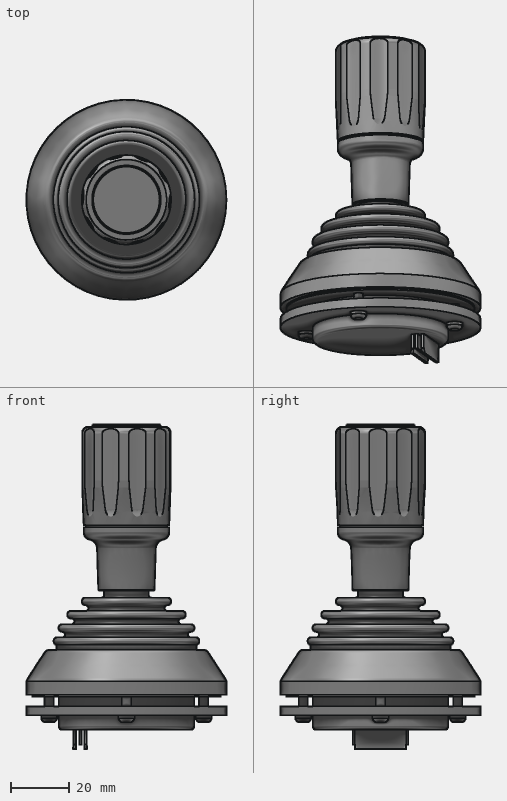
import cadquery as cq
import math

TOTAL_HEIGHT = 111.8

FLANGE_DIAMETER = 69.0
FLANGE_BOTTOM = 11.6
FLANGE_TOP = 14.8
HOUSING_DIAMETER = 46.7
HOUSING_BOTTOM = 6.6
HOUSING_FILLET = 1.3
SKIRT_BOTTOM = 18.1
SKIRT_STEP = 0.6
SKIRT_STEP_RADIUS = 32.4
SKIRT_WALL_TOP = 23.4
SKIRT_BEVEL_RADIUS = 34.0
SKIRT_BEVEL_TOP = 24.4
SKIRT_TOP = 34.2
SKIRT_SHOULDER_RADIUS = 28.2
SKIRT_SHOULDER_DROP = 0.9
SKIRT_FLAT_RADIUS = 26.7

RIB_THICKNESS = 2.7
RIB_LEVELS = (37.2, 41.7, 46.3, 50.9)
RIB_RADII = (25.2, 23.5, 20.5, 15.4)
NECK_LANDINGS = (21.7, 18.9, 13.9)
NECK_SMOOTH_BELOW = (False, True, False)
COLLAR_RADIUS = 24.2

STEM_RADIUS = 15.5 / 2
STEM_FLARE = 0.7
SLEEVE_BOTTOM = 54.6
SLEEVE_BOTTOM_RADIUS = 9.7
SLEEVE_CHAMFER = 0.3
SLEEVE_TOP = 69.2
SLEEVE_TOP_RADIUS = 10.2
BELL_INFLECTION_RADIUS = 12.6
BELL_INFLECTION_LEVEL = 72.1
BELL_RADIUS = 14.8
BELL_WALL_BOTTOM = 74.7
GROOVE_BOTTOM = 76.5
GROOVE_TOP = 77.2
GROOVE_RADIUS = 14.1

KNOB_RADIUS = 15.4
KNOB_BOTTOM_RADIUS = 14.8
BLEND_RADIUS = 15.38
BLEND_BOTTOM = 90.1
BLEND_TOP = 92.5
KNOB_ROUND_START = 108.7
KNOB_ROUND = 2.2
KNOB_LIP_RADIUS = 13.9
KNOB_TOP = 111.0
CAP_DIAMETER = 23.7
CAP_CHAMFER = 0.5
FLUTE_COUNT = 10
FLUTE_PHASE = -3.4
FLUTE_FLOOR_RADIUS = 14.71
FLUTE_CUTTER_RADIUS = 11.0
FLUTE_STRAIGHT_BOTTOM = 82.6
FLUTE_RUNOUT_LENGTH = 4.5
FLUTE_RUNOUT_DEPTH = 0.62

SCREW_COUNT = 4
SCREW_CIRCLE_RADIUS = 26.6
SCREW_DIAMETER = 3.2
HEAD_DIAMETER = 5.6
HEAD_WALL = 1.0
HEAD_HEIGHT = 2.3
HEAD_FACE_DIAMETER = 3.5
HEAD_SHOULDER_DIAMETER = 4.7
HEAD_SHOULDER_HEIGHT = 0.5

BLADE_THICKNESS = 0.9
OUTER_BLADE_WIDTH = 17.7
MIDDLE_BLADE_WIDTH = 19.2
LEFT_BLADE_X = -17.8
MIDDLE_BLADE_X = -15.8
RIGHT_BLADE_X = -14.1
MIDDLE_BLADE_BOTTOM = 1.5
BLADE_EAR_WIDTH = 1.1
BLADE_EAR_HEIGHT = 1.7
BLADE_EAR_FOLD = 15.0


def point_on_circle(center, radius, degrees):
    """Point on a circle, at an angle from the first axis."""
    angle = math.radians(degrees)
    return (center[0] + radius * math.cos(angle), center[1] + radius * math.sin(angle))


def make_base():
    """Revolve the housing, flange and conical skirt."""
    outer = FLANGE_DIAMETER / 2
    housing = HOUSING_DIAMETER / 2
    body = (
        cq.Workplane("XY").workplane(offset=HOUSING_BOTTOM).circle(housing)
        .extrude(SKIRT_BOTTOM - HOUSING_BOTTOM)
        .faces("<Z").edges().fillet(HOUSING_FILLET)
    )
    flange = (
        cq.Workplane("XY").workplane(offset=FLANGE_BOTTOM).circle(outer)
        .extrude(FLANGE_TOP - FLANGE_BOTTOM)
    )
    skirt = (
        cq.Workplane("XZ")
        .moveTo(0, SKIRT_BOTTOM)
        .lineTo(SKIRT_STEP_RADIUS, SKIRT_BOTTOM)
        .lineTo(SKIRT_STEP_RADIUS, SKIRT_BOTTOM + SKIRT_STEP)
        .lineTo(outer, SKIRT_BOTTOM + SKIRT_STEP)
        .lineTo(outer, SKIRT_WALL_TOP)
        .lineTo(SKIRT_BEVEL_RADIUS, SKIRT_BEVEL_TOP)
        .lineTo(SKIRT_SHOULDER_RADIUS, SKIRT_TOP - SKIRT_SHOULDER_DROP)
        .tangentArcPoint((SKIRT_FLAT_RADIUS, SKIRT_TOP), relative=False)
        .lineTo(0, SKIRT_TOP)
        .close()
        .revolve(360, (0, 0, 0), (0, 1, 0))
    )
    return body.union(flange).union(skirt)


def add_neck(profile, index):
    """Add the concave arc between two ribs; it runs smoothly into one and creases at the other."""
    half = RIB_THICKNESS / 2
    bottom = RIB_LEVELS[index] + half
    top = RIB_LEVELS[index + 1] - half
    upper_center = RIB_RADII[index + 1] - half
    landing = NECK_LANDINGS[index]
    profile = profile.lineTo(landing, bottom)
    if NECK_SMOOTH_BELOW[index]:
        arc_radius = (top - bottom) / 2
        center = (landing, bottom + arc_radius)
        return (
            profile.threePointArc(point_on_circle(center, arc_radius, 180), (landing, top))
            .lineTo(upper_center, top)
        )
    gap = top - bottom
    arc_radius = (gap ** 2 + (upper_center - landing) ** 2) / (2 * gap)
    center = (upper_center, top - arc_radius)
    return profile.threePointArc(point_on_circle(center, arc_radius, 180), (upper_center, top))


def make_bellows():
    """Revolve the bellows: a collar, then ribs with rounded rims and concave necks."""
    half = RIB_THICKNESS / 2
    profile = cq.Workplane("XZ").moveTo(0, SKIRT_TOP).lineTo(COLLAR_RADIUS, SKIRT_TOP)
    profile = profile.lineTo(COLLAR_RADIUS, RIB_LEVELS[0] - half)
    for index, (level, radius) in enumerate(zip(RIB_LEVELS, RIB_RADII)):
        profile = profile.threePointArc((radius, level), (radius - half, level + half))
        if index < len(NECK_LANDINGS):
            profile = add_neck(profile, index)
    top = RIB_LEVELS[-1] + half
    return profile.lineTo(0, top).close().revolve(360, (0, 0, 0), (0, 1, 0))


def make_handle():
    """Revolve the stem, the tapered sleeve, its bell and the knob with its cap."""
    stem_bottom = RIB_LEVELS[-1] + RIB_THICKNESS / 2
    round_center = (KNOB_RADIUS - KNOB_ROUND, KNOB_ROUND_START)
    lip_angle = math.degrees(math.acos((KNOB_LIP_RADIUS - round_center[0]) / KNOB_ROUND))
    cap = CAP_DIAMETER / 2
    return (
        cq.Workplane("XZ")
        .moveTo(0, stem_bottom)
        .lineTo(STEM_RADIUS + STEM_FLARE, stem_bottom)
        .threePointArc(
            point_on_circle((STEM_RADIUS + STEM_FLARE, stem_bottom + STEM_FLARE), STEM_FLARE, 225),
            (STEM_RADIUS, stem_bottom + STEM_FLARE),
        )
        .lineTo(STEM_RADIUS, SLEEVE_BOTTOM)
        .lineTo(SLEEVE_BOTTOM_RADIUS - SLEEVE_CHAMFER, SLEEVE_BOTTOM)
        .lineTo(SLEEVE_BOTTOM_RADIUS, SLEEVE_BOTTOM + SLEEVE_CHAMFER)
        .lineTo(SLEEVE_TOP_RADIUS, SLEEVE_TOP)
        .tangentArcPoint((BELL_INFLECTION_RADIUS, BELL_INFLECTION_LEVEL), relative=False)
        .tangentArcPoint((BELL_RADIUS, BELL_WALL_BOTTOM), relative=False)
        .lineTo(BELL_RADIUS, GROOVE_BOTTOM)
        .lineTo(GROOVE_RADIUS, GROOVE_BOTTOM)
        .lineTo(GROOVE_RADIUS, GROOVE_TOP)
        .lineTo(KNOB_BOTTOM_RADIUS, GROOVE_TOP)
        .lineTo(BLEND_RADIUS, BLEND_BOTTOM)
        .tangentArcPoint((KNOB_RADIUS, BLEND_TOP), relative=False)
        .lineTo(KNOB_RADIUS, KNOB_ROUND_START)
        .threePointArc(
            point_on_circle(round_center, KNOB_ROUND, lip_angle / 2),
            point_on_circle(round_center, KNOB_ROUND, lip_angle),
        )
        .lineTo(KNOB_LIP_RADIUS, KNOB_TOP)
        .lineTo(cap, KNOB_TOP)
        .lineTo(cap, TOTAL_HEIGHT - CAP_CHAMFER)
        .lineTo(cap - CAP_CHAMFER, TOTAL_HEIGHT)
        .lineTo(0, TOTAL_HEIGHT)
        .close()
        .revolve(360, (0, 0, 0), (0, 1, 0))
    )


def make_flute_cutter(angle):
    """Cylinder whose lower end curves inward, so that the flute runs out of the wall."""
    runout_bottom = FLUTE_STRAIGHT_BOTTOM - FLUTE_RUNOUT_LENGTH
    return (
        cq.Workplane("XZ")
        .moveTo(0, TOTAL_HEIGHT)
        .lineTo(FLUTE_CUTTER_RADIUS, TOTAL_HEIGHT)
        .lineTo(FLUTE_CUTTER_RADIUS, FLUTE_STRAIGHT_BOTTOM)
        .tangentArcPoint((FLUTE_CUTTER_RADIUS - FLUTE_RUNOUT_DEPTH, runout_bottom), relative=False)
        .lineTo(0, runout_bottom)
        .close()
        .revolve(360, (0, 0, 0), (0, 1, 0))
        .translate((FLUTE_FLOOR_RADIUS + FLUTE_CUTTER_RADIUS, 0, 0))
        .rotate((0, 0, 0), (0, 0, 1), angle)
    )


def make_screw(angle):
    """Screw shank between flange and skirt with a domed head under the flange."""
    head_radius = HEAD_DIAMETER / 2
    shank_radius = SCREW_DIAMETER / 2
    head_face = FLANGE_BOTTOM - HEAD_HEIGHT
    return (
        cq.Workplane("XZ")
        .moveTo(0, head_face)
        .lineTo(HEAD_FACE_DIAMETER / 2, head_face)
        .threePointArc(
            (HEAD_SHOULDER_DIAMETER / 2, head_face + HEAD_SHOULDER_HEIGHT),
            (head_radius, FLANGE_BOTTOM - HEAD_WALL),
        )
        .lineTo(head_radius, FLANGE_BOTTOM)
        .lineTo(shank_radius, FLANGE_BOTTOM)
        .lineTo(shank_radius, SKIRT_BOTTOM)
        .lineTo(0, SKIRT_BOTTOM)
        .close()
        .revolve(360, (0, 0, 0), (0, 1, 0))
        .translate((SCREW_CIRCLE_RADIUS, 0, 0))
        .rotate((0, 0, 0), (0, 0, 1), angle)
    )


def make_blade(x, width, bottom):
    """Flat terminal blade that reaches down from inside the housing."""
    root = HOUSING_BOTTOM + HOUSING_FILLET
    height = root - bottom
    blade = cq.Workplane("XY").box(BLADE_THICKNESS, width, height)
    return blade.translate((x, 0, root - height / 2))


def make_outer_blade(x, side):
    """Outer terminal: its two lower corners are folded toward one side along X (-1 or +1)."""
    edge = OUTER_BLADE_WIDTH / 2
    corner = (
        cq.Workplane("YZ")
        .moveTo(edge - BLADE_EAR_WIDTH, 0)
        .lineTo(edge, 0)
        .lineTo(edge, BLADE_EAR_HEIGHT)
        .close()
        .extrude(BLADE_THICKNESS / 2, both=True)
        .translate((x, 0, 0))
    )
    hinge_x = x - side * BLADE_THICKNESS / 2
    ear = corner.rotate(
        (hinge_x, edge - BLADE_EAR_WIDTH, 0),
        (hinge_x, edge, BLADE_EAR_HEIGHT),
        -side * BLADE_EAR_FOLD,
    )
    blade = make_blade(x, OUTER_BLADE_WIDTH, 0)
    blade = blade.cut(corner).cut(corner.mirror("XZ"))
    return blade.union(ear).union(ear.mirror("XZ"))


result = make_base().union(make_bellows())

handle = make_handle()
for index in range(FLUTE_COUNT):
    handle = handle.cut(make_flute_cutter(FLUTE_PHASE + index * 360 / FLUTE_COUNT))
result = result.union(handle)

for index in range(SCREW_COUNT):
    result = result.union(make_screw(index * 360 / SCREW_COUNT))

result = result.union(make_outer_blade(LEFT_BLADE_X, -1))
result = result.union(make_blade(MIDDLE_BLADE_X, MIDDLE_BLADE_WIDTH, MIDDLE_BLADE_BOTTOM))
result = result.union(make_outer_blade(RIGHT_BLADE_X, 1))